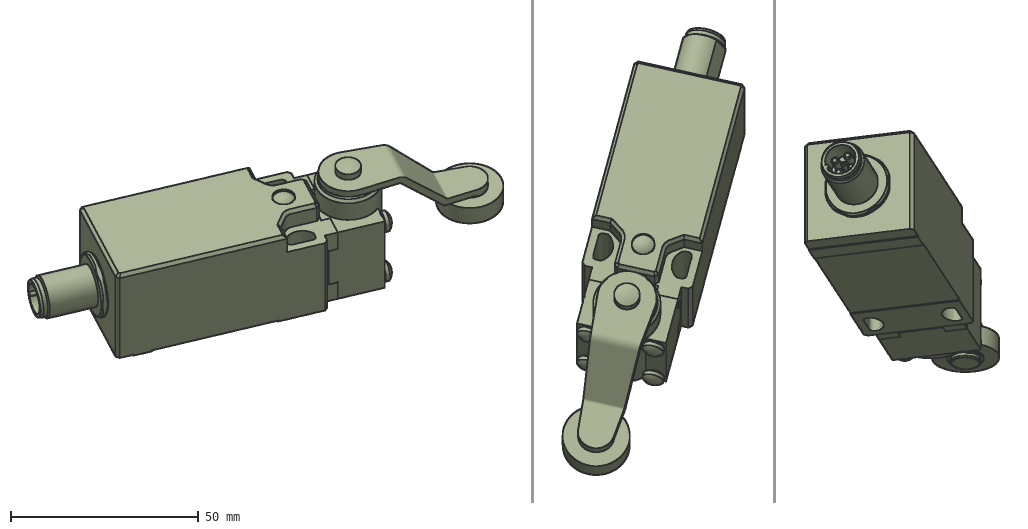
import cadquery as cq
import math


housing_width = 30.4
housing_length = 60.1
housing_top = 29.8
base_z = 0.33
edge_chamfer = 0.9
shelf_z = 24.1
shelf_length = 11.7
shelf_start = housing_length - shelf_length
bridge_width = 12.2
bridge_end = 61.0
bridge_root_width = 20.4
bridge_slant_y = 51.5
bridge_corner_radius = 2.7
slot_y = 53.6
slot_length = 8.1
slot_flat_x = 12.9
slot_shoulder_x = 10.5
slot_bow_x = 8.2
slot_corner_radius = 1.2
front_foot_length = 14.2
rear_foot_start = 4.8
rear_foot_length = 5.3
indicator_y = 52.8
indicator_radius = 3.0
indicator_recess = 0.7
indicator_dome = 1.2

head_width = 24.5
head_back = 63.8
head_front = 77.2
tongue_length = 2.5
tongue_end = head_back - tongue_length
tongue_width = 12.5
tongue_height = 12.0
head_mid_z = (base_z + shelf_z) / 2
pivot_y = 71.1
boss_radius = 9.0
boss_bottom = 0.8
boss_top = 30.9
boss_chamfer = 0.8
screw_x = 9.0
screw_pitch_z = 17.8
screw_radius = 2.9
screw_height = 1.6
screw_dome = 1.3
screw_neck_radius = 2.5
screw_neck = 0.4

lever_top = 33.5
lever_thickness = 2.1
lever_tip_top = 20.7
lever_hub_radius = 8.0
lever_tip_radius = 4.9
lever_low_bend_y = 97.2
high_bend_radius = 3.3
low_bend_radius = 0.9
shaft_collar_radius = 7.2
shaft_radius = 3.5
shaft_top = 35.5
shaft_dome = 0.7
roller_y = 105.5
roller_radius = 9.0
roller_top = 18.2
roller_bottom = 12.6
roller_washer_radius = 4.9
roller_washer = 0.4
rivet_radius = 4.1
rivet_bottom = 10.9
rivet_chamfer = 0.4

connector_z = 14.5
nut_flats = 17.5
nut_corner_radius = 9.0
nut_thickness = 2.0
nut_chamfer = 0.5
barrel_radius = 6.0
barrel_end = 15.6
tip_radius = 5.5
tip_step_end = 16.0
connector_length = 18.0
tip_chamfer = 0.8
tip_end_radius = 5.2
barrel_flat_distance = 5.3
barrel_flat_angle = 152
socket_radius = 4.2
socket_depth = 6.6
key_radius = 0.7
key_angle = 203
pin_count = 4
pin_circle_radius = 2.59
pin_radius = 1.0
centre_pin_radius = 0.7
pin_length = 4.0
pin_chamfer = 0.4
first_pin_angle = 62


def box(x_size, y_start, y_end, z_start, z_end):
    """Block centred on X = 0 between the given Y and Z limits."""
    return (
        cq.Workplane("XY")
        .box(x_size, y_end - y_start, z_end - z_start, centered=(True, False, False))
        .translate((0, y_start, z_start))
    )


def disc(radius, y, z_start, z_end):
    """Upright cylinder centred on X = 0."""
    return cq.Workplane("XY", origin=(0, y, z_start)).circle(radius).extrude(z_end - z_start)


def dome(radius, height):
    """Spherical cap with its flat side on the XY plane."""
    return (
        cq.Workplane("XZ")
        .moveTo(radius, 0)
        .threePointArc(cap_point(radius, height), (0, height))
        .lineTo(0, 0)
        .close()
        .revolve(360, (0, 0), (0, 1))
    )


def cap_point(radius, height):
    """Point halfway along the profile arc of a spherical cap."""
    sphere_radius = (radius**2 + height**2) / (2 * height)
    half_angle = math.asin(radius / sphere_radius) / 2
    return (sphere_radius * math.sin(half_angle), height - sphere_radius * (1 - math.cos(half_angle)))


def make_tongue():
    """Cross-shaped tongue of the head that fills the notch in the housing neck."""
    wide = box(
        head_width, tongue_end, head_back, head_mid_z - tongue_height / 2, head_mid_z + tongue_height / 2
    )
    tall = box(tongue_width, tongue_end, head_back, base_z, shelf_z)
    return wide.union(tall)


def make_slot(side):
    """Cutter for one mounting slot; side is -1 or 1."""
    y_low = slot_y - slot_length / 2
    y_high = slot_y + slot_length / 2
    return (
        cq.Workplane("XY")
        .moveTo(side * slot_flat_x, y_low)
        .lineTo(side * slot_flat_x, y_high)
        .lineTo(side * slot_shoulder_x, y_high)
        .threePointArc((side * slot_bow_x, slot_y), (side * slot_shoulder_x, y_low))
        .close()
        .extrude(housing_top)
        .edges("|Z")
        .fillet(slot_corner_radius)
    )


def make_housing_upper():
    """Chamfered layer above the shelf level, with the bridge strip reaching the head."""
    half_width = housing_width / 2
    half_root = bridge_root_width / 2
    half_bridge = bridge_width / 2
    layer = (
        cq.Workplane("XY", origin=(0, 0, shelf_z))
        .polyline([
            (-half_width, 0),
            (half_width, 0),
            (half_width, shelf_start),
            (half_root, shelf_start),
            (half_bridge, bridge_slant_y),
            (half_bridge, bridge_end),
            (-half_bridge, bridge_end),
            (-half_bridge, bridge_slant_y),
            (-half_root, shelf_start),
            (-half_width, shelf_start),
        ])
        .close()
        .extrude(housing_top - shelf_z)
    )
    layer = layer.edges("|Z and (<Y or >Y)").chamfer(edge_chamfer)
    slant_corners = cq.selectors.BoxSelector(
        (-bridge_width, shelf_start + edge_chamfer, shelf_z),
        (bridge_width, bridge_slant_y + edge_chamfer, housing_top),
    )
    layer = layer.edges("|Z").edges(slant_corners).fillet(bridge_corner_radius)
    return layer.faces(">Z").edges().chamfer(edge_chamfer)


def make_housing():
    lower = box(housing_width, 0, housing_length, base_z, shelf_z).edges("|Z").chamfer(edge_chamfer)
    front_foot = box(housing_width, housing_length - front_foot_length, housing_length, 0, base_z)
    front_foot = front_foot.edges("|Z and >Y").chamfer(edge_chamfer)
    rear_foot = box(housing_width, rear_foot_start, rear_foot_start + rear_foot_length, 0, base_z)
    neck = box(head_width, housing_length, head_back, base_z, shelf_z).cut(make_tongue())
    recess_floor = housing_top - indicator_recess
    recess = disc(indicator_radius, indicator_y, recess_floor, housing_top)
    indicator = dome(indicator_radius, indicator_dome).translate((0, indicator_y, recess_floor))
    body = lower.union(make_housing_upper())
    for piece in (front_foot, rear_foot, neck):
        body = body.union(piece)
    body = body.cut(recess).union(indicator)
    for side in (-1, 1):
        body = body.cut(make_slot(side))
    return body


def make_screw():
    """Domed screw head with its foot at the origin, pointing toward +Y."""
    neck = cq.Workplane("XY").circle(screw_neck_radius).extrude(screw_neck)
    rim = cq.Workplane("XY", origin=(0, 0, screw_neck)).circle(screw_radius).extrude(screw_height - screw_neck)
    cap = dome(screw_radius, screw_dome).translate((0, 0, screw_height))
    return neck.union(rim).union(cap).rotate((0, 0, 0), (1, 0, 0), -90)


def make_head():
    block = box(head_width, head_back, head_front, base_z, shelf_z)
    boss = disc(boss_radius, pivot_y, boss_bottom, boss_top).faces(">Z").chamfer(boss_chamfer)
    head = block.union(make_tongue()).union(boss)
    for side_x in (-1, 1):
        for side_z in (-1, 1):
            place = (side_x * screw_x, head_front, head_mid_z + side_z * screw_pitch_z / 2)
            head = head.union(make_screw().translate(place))
    return head


def make_arm():
    """Cranked lever strip: tapered outline crossed with the bent side profile."""
    drop = lever_top - lever_tip_top
    high_bend_y = lever_low_bend_y - drop
    bend_shift = lever_thickness * math.tan(math.radians(45 / 2))
    arm_start = pivot_y - lever_hub_radius
    arm_end = roller_y + lever_tip_radius
    profile = (
        cq.Workplane("YZ", origin=(-lever_hub_radius, 0, 0))
        .polyline([
            (arm_start, lever_top),
            (high_bend_y, lever_top),
            (lever_low_bend_y, lever_tip_top),
            (arm_end, lever_tip_top),
            (arm_end, lever_tip_top - lever_thickness),
            (lever_low_bend_y - bend_shift, lever_tip_top - lever_thickness),
            (high_bend_y - bend_shift, lever_top - lever_thickness),
            (arm_start, lever_top - lever_thickness),
        ])
        .close()
        .extrude(2 * lever_hub_radius)
    )
    upper_bend = cq.selectors.NearestToPointSelector((0, high_bend_y, lever_top))
    profile = profile.edges("|X").edges(upper_bend).fillet(high_bend_radius)
    lower_bend = cq.selectors.NearestToPointSelector((0, lever_low_bend_y, lever_tip_top))
    profile = profile.edges("|X").edges(lower_bend).fillet(low_bend_radius)

    lean = math.asin((lever_hub_radius - lever_tip_radius) / (roller_y - pivot_y))
    hub_x = lever_hub_radius * math.cos(lean)
    hub_y = pivot_y + lever_hub_radius * math.sin(lean)
    tip_x = lever_tip_radius * math.cos(lean)
    tip_y = roller_y + lever_tip_radius * math.sin(lean)
    outline = (
        cq.Workplane("XY")
        .moveTo(hub_x, hub_y)
        .lineTo(tip_x, tip_y)
        .threePointArc((0, arm_end), (-tip_x, tip_y))
        .lineTo(-hub_x, hub_y)
        .threePointArc((0, arm_start), (hub_x, hub_y))
        .close()
        .extrude(lever_top)
    )
    return profile.intersect(outline)


def make_lever():
    """Arm with its shaft end, roller and roller rivet."""
    arm_underside = lever_top - lever_thickness
    tip_underside = lever_tip_top - lever_thickness
    collar = disc(shaft_collar_radius, pivot_y, boss_top, arm_underside)
    shaft = disc(shaft_radius, pivot_y, lever_top, shaft_top)
    shaft_cap = dome(shaft_radius, shaft_dome).translate((0, pivot_y, shaft_top))
    upper_washer = disc(roller_washer_radius, roller_y, roller_top, tip_underside)
    roller = disc(roller_radius, roller_y, roller_bottom, roller_top)
    lower_washer = disc(roller_washer_radius, roller_y, roller_bottom - roller_washer, roller_bottom)
    rivet = disc(rivet_radius, roller_y, rivet_bottom, roller_bottom).faces("<Z").chamfer(rivet_chamfer)
    lever = make_arm()
    for piece in (collar, shaft, shaft_cap, upper_washer, roller, lower_washer, rivet):
        lever = lever.union(piece)
    return lever


def make_nut():
    """Hexagon nut with two flats upright, its corners turned round."""
    corner_diameter = nut_flats / math.cos(math.radians(30))
    hexagon = cq.Workplane("XY").polygon(6, corner_diameter).extrude(nut_thickness)
    hexagon = hexagon.rotate((0, 0, 0), (0, 0, 1), 30)
    turned = cq.Workplane("XY").circle(nut_corner_radius).extrude(nut_thickness).edges().chamfer(nut_chamfer)
    return hexagon.intersect(turned)


def make_barrel():
    """Turned barrel with a stepped tip and one long flat."""
    barrel = (
        cq.Workplane("XZ")
        .polyline([
            (0, 0),
            (barrel_radius, 0),
            (barrel_radius, barrel_end),
            (tip_radius, tip_step_end),
            (tip_radius, connector_length - tip_chamfer),
            (tip_end_radius, connector_length),
            (0, connector_length),
        ])
        .close()
        .revolve(360, (0, 0), (0, 1))
    )
    flat_depth = barrel_radius - barrel_flat_distance
    flat_cut = (
        cq.Workplane("XY")
        .box(flat_depth, 2 * barrel_radius, barrel_end - nut_thickness, centered=(False, True, False))
        .translate((barrel_flat_distance, 0, nut_thickness))
        .rotate((0, 0, 0), (0, 0, 1), barrel_flat_angle)
    )
    return barrel.cut(flat_cut)


def make_connector():
    """Connector built along its own axis, then laid along -Y against the housing face."""
    socket_floor = connector_length - socket_depth
    floor = cq.Workplane("XY", origin=(0, 0, socket_floor))
    socket = floor.circle(socket_radius).extrude(socket_depth)
    outer_pins = (
        floor.polarArray(pin_circle_radius, first_pin_angle, 360, pin_count)
        .circle(pin_radius)
        .extrude(pin_length)
        .faces(">Z")
        .chamfer(pin_chamfer)
    )
    centre_pin = floor.circle(centre_pin_radius).extrude(pin_length).faces(">Z").chamfer(pin_chamfer)
    key_rib = floor.polarArray(socket_radius, key_angle, 360, 1).circle(key_radius).extrude(socket_depth)
    socket = socket.cut(key_rib)
    connector = make_barrel().union(make_nut()).cut(socket).union(outer_pins).union(centre_pin)
    return connector.rotate((0, 0, 0), (1, 0, 0), 90).translate((0, 0, connector_z))


housing = make_housing()
head = make_head()
lever = make_lever()
connector = make_connector()

result = cq.Compound.makeCompound([housing.val(), head.val(), lever.val(), connector.val()])